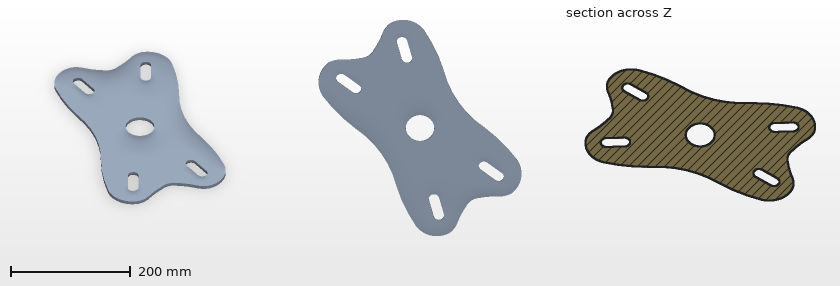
import cadquery as cq

length = 362.2
width = 205.0
thickness = 6.0

half_length = length / 2
half_width = width / 2
waist_half_length = 154.0
waist_half_width = 78.5

long_side_inflection = (61.0, 89.5)
long_side_bulge = (97.8, 98.5)
lobe_top = (138.5, half_width)
lobe_shoulder = (168.8, 90.0)
lobe_tip = (half_length, 62.3)
lobe_flank = (178.5, 50.7)
lobe_end = (171.7, 39.0)
short_side_flank = (163.7, 26.0)
short_side_corner = (157.5, 13.0)

centre_hole_diameter = 47.8
slot_width = 17.7
slot_centre_distance = 30.8
slot_length = slot_centre_distance + slot_width
slot_tilt = 18.7
slots = [
    ((-132.2, 54.7), -1),
    ((-129.3, -56.0), 1),
    ((131.5, 55.8), 1),
    ((130.5, -55.8), -1),
]


def side_arc_midpoint(start_height, end):
    """Point halfway along X on the arc that leaves its symmetry axis at a right angle."""
    reach, height = end
    rise = height - start_height
    radius = (reach**2 + rise**2) / (2 * rise)
    middle = reach / 2
    return middle, start_height + radius - (radius**2 - middle**2) ** 0.5


def quarter_plate():
    """Plate between the centre and the corner lobe at +X, +Y."""
    long_side_middle = side_arc_midpoint(waist_half_width, long_side_inflection)
    corner_x, corner_y = short_side_corner
    waist_y, waist_x = side_arc_midpoint(waist_half_length, (corner_y, corner_x))
    return (
        cq.Workplane("XY")
        .lineTo(0, waist_half_width)
        .threePointArc(long_side_middle, long_side_inflection)
        .threePointArc(long_side_bulge, lobe_top)
        .threePointArc(lobe_shoulder, lobe_tip)
        .threePointArc(lobe_flank, lobe_end)
        .threePointArc(short_side_flank, short_side_corner)
        .threePointArc((waist_x, waist_y), (waist_half_length, 0))
        .close()
        .extrude(thickness)
    )


def slot_cutter(centre, tilt):
    """Round-ended slot through the plate, tilted from the X direction."""
    return cq.Workplane("XY").center(*centre).slot2D(slot_length, slot_width, tilt).extrude(thickness)


half_plate = quarter_plate()
half_plate = half_plate.union(half_plate.mirror("YZ"))
result = half_plate.union(half_plate.mirror("XZ")).clean()

result = result.cut(cq.Workplane("XY").circle(centre_hole_diameter / 2).extrude(thickness))

for slot_centre, tilt_direction in slots:
    result = result.cut(slot_cutter(slot_centre, tilt_direction * slot_tilt))